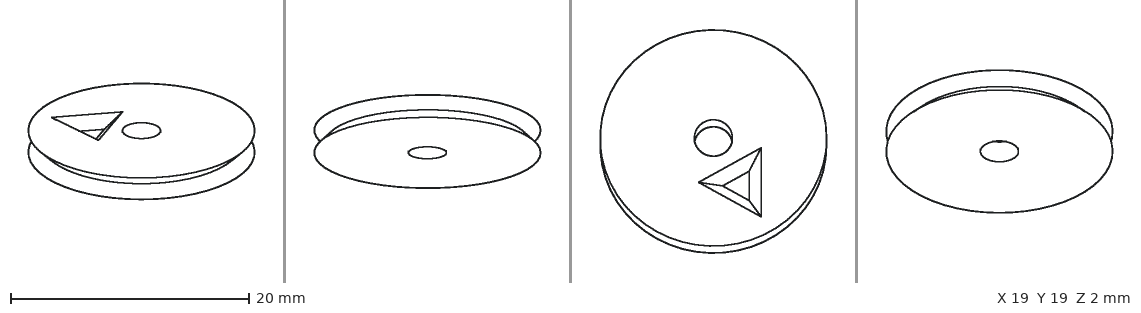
import cadquery as cq

disc_diameter = 19.0
disc_thickness = 2.0
bore_diameter = 3.2
groove_depth = 1.0

pocket_center_x = -4.5
pocket_circumradius = 3.5
pocket_depth = 1.0
pocket_wall_angle = 45.0


def grooved_disc():
    """Revolve the half section of the disc, bore and V groove included."""
    outer_radius = disc_diameter / 2
    bore_radius = bore_diameter / 2
    return (
        cq.Workplane("XZ")
        .moveTo(bore_radius, 0)
        .lineTo(outer_radius, 0)
        .lineTo(outer_radius - groove_depth, disc_thickness / 2)
        .lineTo(outer_radius, disc_thickness)
        .lineTo(bore_radius, disc_thickness)
        .close()
        .revolve(360, (0, 0, 0), (0, 1, 0))
    )


def triangular_pocket():
    """Equilateral pocket pointing toward -X, narrowing downward."""
    return (
        cq.Workplane("XY", origin=(pocket_center_x, 0, disc_thickness))
        .transformed(rotate=(0, 0, 180))
        .polygon(3, 2 * pocket_circumradius)
        .extrude(-pocket_depth, taper=pocket_wall_angle)
    )


result = grooved_disc().cut(triangular_pocket())